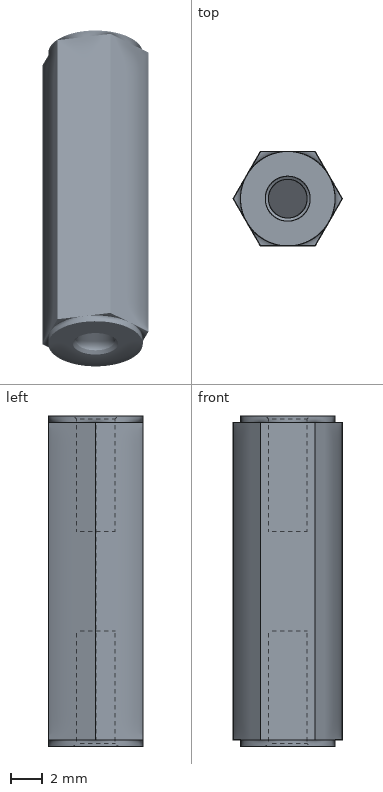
import cadquery as cq
import math

length = 21.0
across_flats = 6.0
across_corners = across_flats / math.cos(math.radians(30))
collar_height = 0.42
hole_diameter = 2.45
hole_mouth_diameter = 2.85
hole_depth = 7.35
countersink_depth = (hole_mouth_diameter - hole_diameter) / 2


def make_body():
    """Round core the full length, with a hexagon between the two end collars."""
    core = cq.Workplane("XY").circle(across_flats / 2).extrude(length)
    hexagon = (
        cq.Workplane("XY")
        .workplane(offset=collar_height)
        .polygon(6, across_corners)
        .extrude(length - 2 * collar_height)
    )
    return core.union(hexagon)


def make_top_hole():
    """Flat-bottomed hole with a countersunk mouth, entering from the top face."""
    profile = [
        (0, length),
        (hole_mouth_diameter / 2, length),
        (hole_diameter / 2, length - countersink_depth),
        (hole_diameter / 2, length - hole_depth),
        (0, length - hole_depth),
    ]
    return cq.Workplane("XZ").polyline(profile).close().revolve(360, (0, 0), (0, 1))


top_hole = make_top_hole()
bottom_hole = top_hole.mirror("XY", (0, 0, length / 2))
result = make_body().cut(top_hole).cut(bottom_hole)